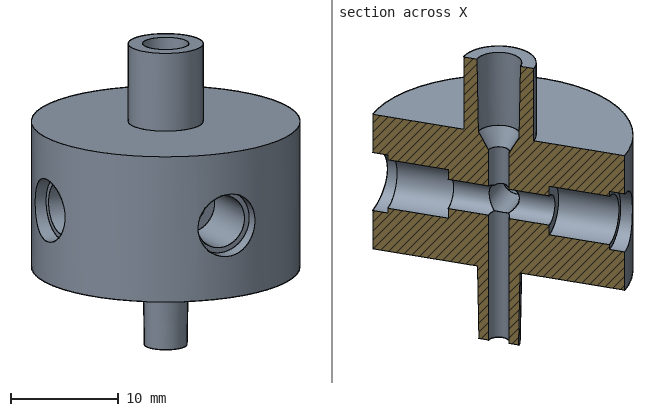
import cadquery as cq
import math

body_diameter = 25.0
body_height = 14.0

total_height = 29.0
stub_length = (total_height - body_height) / 2
socket_diameter = 7.0

taper_wide_diameter = 4.3
taper_narrow_diameter = 4.0

bore_diameter = 2.0
funnel_angle = 60.0
funnel_height = (taper_narrow_diameter - bore_diameter) / 2 / math.tan(math.radians(funnel_angle / 2))

counterbore_diameter = 5.97
counterbore_depth = 1.5
port_diameter = 5.0
port_depth = 7.48
cross_bore_diameter = 3.0
port_directions = [(1, 0, 0), (0, 1, 0), (0, -1, 0)]

body_radius = body_diameter / 2
body_top = body_height / 2
total_top = total_height / 2


def revolve_about_z(profile):
    """Revolve a closed (radius, height) outline a full turn about Z."""
    return cq.Workplane("XZ").polyline(profile).close().revolve(360, (0, 0), (0, 1))


def make_outside():
    """Body with the socket above it and the tapered tip below it."""
    return revolve_about_z([
        (0, -total_top),
        (taper_narrow_diameter / 2, -total_top),
        (taper_wide_diameter / 2, -body_top),
        (body_radius, -body_top),
        (body_radius, body_top),
        (socket_diameter / 2, body_top),
        (socket_diameter / 2, total_top),
        (0, total_top),
    ])


def make_central_passage():
    """Vertical passage: tapered mouth as deep as the socket, funnel and bore."""
    mouth_floor = total_top - stub_length
    return revolve_about_z([
        (0, -total_top),
        (bore_diameter / 2, -total_top),
        (bore_diameter / 2, mouth_floor - funnel_height),
        (taper_narrow_diameter / 2, mouth_floor),
        (taper_wide_diameter / 2, total_top),
        (0, total_top),
    ])


def make_radial_hole(direction, diameter, depth):
    """Round hole reaching inward from the outer radius of the body."""
    outward = cq.Vector(*direction)
    floor_centre = outward * (body_radius - depth)
    return cq.Workplane(cq.Solid.makeCylinder(diameter / 2, depth, floor_centre, outward))


def make_port(direction):
    """Stepped side port whose cross bore meets the central passage."""
    cross_bore = make_radial_hole(direction, cross_bore_diameter, body_radius)
    port_hole = make_radial_hole(direction, port_diameter, port_depth)
    counterbore = make_radial_hole(direction, counterbore_diameter, counterbore_depth)
    return cross_bore.union(port_hole).union(counterbore)


result = make_outside().cut(make_central_passage())
for port_direction in port_directions:
    result = result.cut(make_port(port_direction))